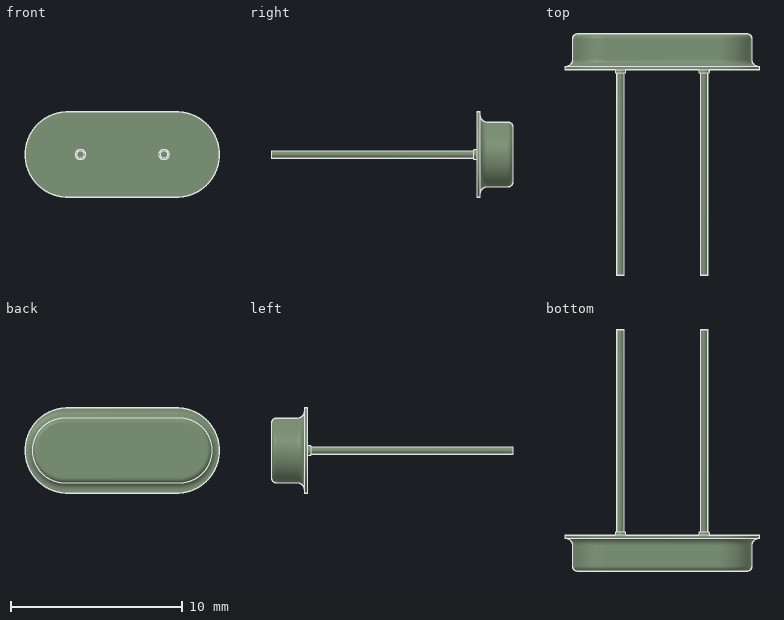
import cadquery as cq

flange_length = 11.35
flange_width = 5.0
overall_depth = 14.1

flange_thickness = 0.2
flange_overhang_x = 0.44
flange_overhang_z = 0.6
can_length = flange_length - 2 * flange_overhang_x
can_width = flange_width - 2 * flange_overhang_z
can_top = 2.12
can_edge_radius = 0.3
can_base_radius = 0.41

lead_diameter = 0.44
lead_spacing = 4.88
lead_length = overall_depth - can_top
bead_diameter = 0.6
bead_length = 0.18
bead_edge_radius = 0.05

selection_margin = 0.07

flange_face = cq.Workplane("XZ")


def make_flange():
    return flange_face.slot2D(flange_length, flange_width).extrude(-flange_thickness)


def add_can(body):
    """Add the round-ended can, flared into the flange and rounded at the top."""
    can = flange_face.slot2D(can_length, can_width).extrude(-can_top)
    can = can.faces(">Y").edges().fillet(can_edge_radius)

    half_x = can_length / 2 + selection_margin
    half_z = can_width / 2 + selection_margin
    base_seam = cq.selectors.BoxSelector(
        (-half_x, flange_thickness - selection_margin, -half_z),
        (half_x, flange_thickness + selection_margin, half_z),
        boundingbox=True,
    )
    return body.union(can).edges(base_seam).fillet(can_base_radius)


def make_lead(x):
    """Make one round lead with the bead at its root."""
    root = flange_face.center(x, 0)
    bead = root.circle(bead_diameter / 2).extrude(bead_length)
    bead = bead.faces("<Y").edges().fillet(bead_edge_radius)
    return root.circle(lead_diameter / 2).extrude(lead_length).union(bead)


result = add_can(make_flange())
for side in (-1, 1):
    result = result.union(make_lead(side * lead_spacing / 2))